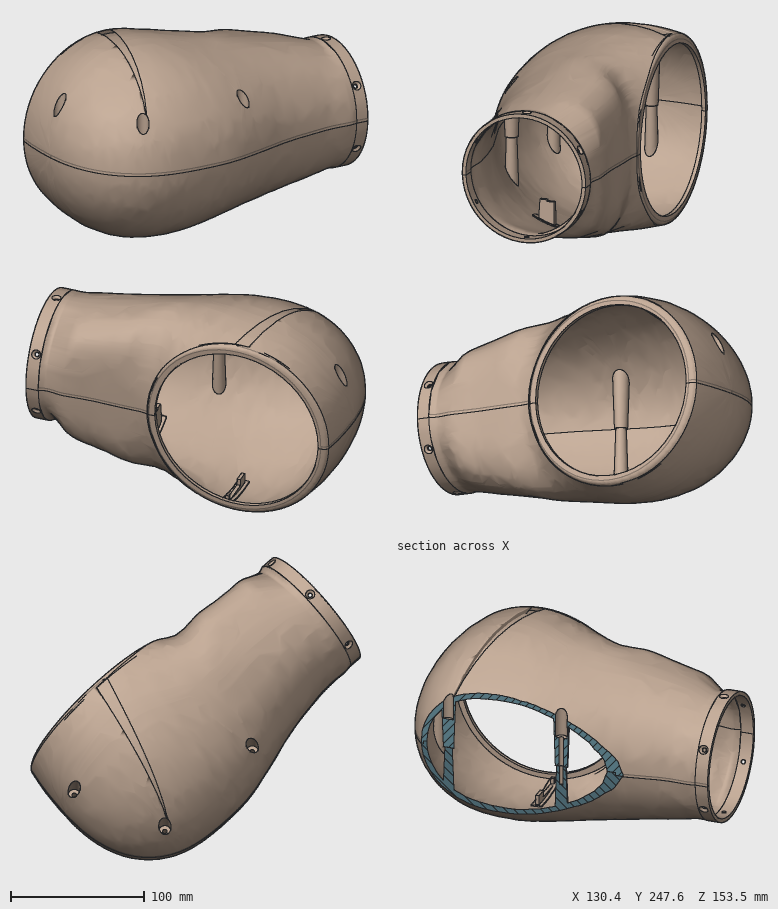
import cadquery as cq
import math

head_radius = 76.65
collar_radius = 50.0
collar_length = 10.0
total_length = 247.6
collar_end = total_length - head_radius
neck_end = collar_end - collar_length
apex_x = 77.93
rim_x = -52.42
ridge_x = -16.0
tip_ridge_x = -5.0
crown_fullness = 2.15
wall = 3.0
lip_wall = wall / 2

rim_plane_radius = 71.9
rim_radius = 72.9
rim_flat_radius = 69.0
rim_flat_shift = 2.0
rim_round_depth = 4.3
rim_round_steps = 4
rim_thickness = 3.0
bore_radius = 65.6
bore_shift = 0.8

split_z = -2.2
lip_top_z = 0.0

neck_stations = [
    (90.0, 59.8, 64.2, -50.5, -13.0, 3.0),
    (105.0, 56.2, 60.6, -49.8, -9.0, 3.4),
    (126.0, 52.4, 55.9, -49.4, -4.0, 3.4),
    (145.0, 50.8, 51.4, -49.7, -1.0, 2.6),
    (neck_end, collar_radius, collar_radius, -collar_radius, 0.0, 2.0),
]
shoulder_stations = [
    (20.0, 77.6, 75.9),
    (40.0, 75.0, 72.8),
    (58.0, 70.0, 69.9),
    (72.0, 65.7, 67.6),
]
head_angles = [89.8, 84, 74, 60, 42, 22, 0]
section_points = 16

screw_posts = [(56.2, 55.7, 22.0), (58.6, -34.9, 22.0), (-8.1, -66.4, 22.0)]
post_reach = 70.0
post_draft = 2.0
upper_post_radius = 5.0
lower_post_radius = 4.0
counterbore_radius = 4.6
screw_radius = 1.7
pilot_radius = 1.3
pilot_depth = 15.0

collar_screw_inset = 5.8
collar_screw_count = 6
collar_screw_radius = 1.6
collar_countersink_radius = 3.5

rib_draft = 2.0
foot_width = 8.5
foot_height = 1.0
floor_z = -head_radius
neck_rib_y = 90.0
neck_rib_thickness = 5.5
neck_seat_z = -39.6
neck_lug_z = -35.5
head_rib_y = 11.0
head_rib_thickness = 3.4
head_lug_z = -65.0
head_bar_z = -70.0

overshoot = 1.0
far = 400.0


def superellipse(value, fullness):
    """Sine or cosine bent so that the quarter arc it traces gets fuller as fullness rises above 2."""
    return math.copysign(abs(value) ** (2 / fullness), value)


def section(y, left, right, height, ridge, inset, left_fullness=2.0):
    """Closed curve in the XZ plane: a half ellipse on the right and a fuller one on the left."""
    points = []
    for i in range(section_points):
        angle = 2 * math.pi * i / section_points
        on_right = math.cos(angle) > 0
        reach = right - ridge if on_right else ridge - left
        fullness = 2.0 if on_right else left_fullness
        x = ridge + (reach - inset) * superellipse(math.cos(angle), fullness)
        z = (height - inset) * superellipse(math.sin(angle), fullness)
        points.append(cq.Vector(x, y, z))
    return cq.Wire.assembleEdges([cq.Edge.makeSpline(points, periodic=True)])


def left_edge(y, ridge, height):
    """Left edge that makes the section cross the rim plane on a circle."""
    level = (rim_plane_radius ** 2 - y ** 2) / height ** 2
    return ridge - (ridge - rim_x) / math.sqrt(1 - level)


def head_section(angle, inset):
    """Section of the closed end of the head, at an angle from the equator (0) to the tip (90)."""
    depth = math.sin(math.radians(angle))
    round_off = math.cos(math.radians(angle))
    ridge = ridge_x + (tip_ridge_x - ridge_x) * depth ** 2
    right = ridge + (apex_x - ridge_x) * (1 - depth ** crown_fullness) ** (1 / crown_fullness)
    rim_cos = math.sqrt(1 - (rim_plane_radius / head_radius) ** 2)
    left = ridge - (ridge - rim_x) * round_off / rim_cos
    scale = 1 - inset / head_radius
    left = ridge + (left - ridge) * scale
    right = ridge + (right - ridge) * scale
    return section(-head_radius * depth * scale, left, right, head_radius * round_off * scale, ridge, 0)


def pod(inset):
    """Head and neck as one lofted solid, set in by the given distance."""
    wires = [head_section(angle, inset) for angle in head_angles]
    for y, right, height in shoulder_stations:
        wires.append(section(y, left_edge(y, ridge_x, height), right, height, ridge_x, inset))
    for y, right, height, left, ridge, fullness in neck_stations:
        wires.append(section(y, left, right, height, ridge, inset, fullness))
    return cq.Workplane(cq.Solid.makeLoft(wires))



def slab(z_low, z_high):
    """Wide block between two heights, used to separate the halves."""
    return cq.Workplane("XY", origin=(0, 0, z_low)).rect(far, far).extrude(z_high - z_low)


def beyond_x(x):
    return cq.Workplane("YZ", origin=(x, 0, 0)).circle(far).extrude(far)


def rim_round_cutter():
    """Ring that rounds the outer edge of the rim, off-centre so that it fades at the neck."""
    circles = []
    for i in range(rim_round_steps + 1):
        angle = math.pi / 2 * i / rim_round_steps
        depth = rim_round_depth * (1 - math.cos(angle))
        radius = rim_flat_radius + (rim_radius - rim_flat_radius) * math.sin(angle)
        centre = cq.Vector(rim_x + depth, rim_flat_shift * (1 - math.sin(angle)), 0)
        circles.append(cq.Wire.makeCircle(radius, centre, cq.Vector(1, 0, 0)))
    rounded_plug = cq.Workplane(cq.Solid.makeLoft(circles))
    blank = cq.Workplane("YZ", origin=(rim_x, 0, 0)).circle(rim_radius).extrude(rim_round_depth)
    return blank.cut(rounded_plug)


def opening_bore():
    return (
        cq.Workplane("YZ", origin=(rim_x - overshoot, 0, 0))
        .center(bore_shift, 0)
        .circle(bore_radius)
        .extrude(rim_thickness + 2 * overshoot)
    )


def collar():
    base = cq.Workplane("XZ", origin=(0, neck_end, 0))
    ring = base.circle(collar_radius).circle(collar_radius - wall).extrude(-collar_length)
    step = 360 / collar_screw_count
    for i in range(collar_screw_count):
        ring = ring.cut(collar_screw_hole().rotate((0, 0, 0), (0, 1, 0), step * i))
    return ring


def collar_screw_hole():
    """Countersunk hole at the top of the collar."""
    sink_depth = collar_countersink_radius - collar_screw_radius
    y = collar_end - collar_screw_inset
    up = cq.Vector(0, 0, 1)
    hole_start = cq.Vector(0, y, collar_radius - wall - overshoot)
    hole = cq.Solid.makeCylinder(collar_screw_radius, wall + 2 * overshoot, hole_start, up)
    sink = cq.Solid.makeCone(
        collar_screw_radius, collar_countersink_radius, sink_depth,
        cq.Vector(0, y, collar_radius - sink_depth), up,
    )
    return cq.Workplane(hole).union(cq.Workplane(sink))


def post(x, y, radius, direction):
    """Drafted post from the parting plane, widening towards the shell."""
    return (
        cq.Workplane("XY", origin=(x, y, split_z))
        .circle(radius)
        .extrude(direction * post_reach, taper=-post_draft)
    )


def screw_post_set(radius, direction):
    """All posts of one half, trimmed so that they end inside the shell wall."""
    posts = cq.Workplane()
    for x, y, _ in screw_posts:
        posts = posts.add(post(x, y, radius, direction))
    return posts.combine().intersect(lip_form)


def pin_hole(x, y, z_low, z_high, radius):
    return cq.Workplane("XY", origin=(x, y, z_low)).circle(radius).extrude(z_high - z_low)


def band_below(body):
    """Straight extrusion of the body's flat underside down to the parting plane."""
    return body.faces("<Z").wires().toPending().extrude(split_z - lip_top_z, combine=False)


inner_side = beyond_x(rim_x + rim_thickness)
outer_form = pod(0).intersect(beyond_x(rim_x)).cut(rim_round_cutter())
lip_form = pod(lip_wall).intersect(inner_side)
cavity = pod(wall).intersect(inner_side)
shell = outer_form.cut(cavity).cut(opening_bore())
ring = collar()
dome = shell.intersect(slab(lip_top_z, far))
basin = shell.intersect(slab(-far, lip_top_z))
band = band_below(dome)
lip_block = band_below(lip_form.intersect(slab(lip_top_z, far)))
skirt = band.cut(lip_block)
lip_surround = slab(split_z, lip_top_z).cut(lip_block)
upper_posts = screw_post_set(upper_post_radius, 1)


def saddle_rib(outline, y, thickness, foot_start, foot_end):
    """Thin upright rib across X, standing on a low foot that follows the floor."""
    rib = (
        cq.Workplane("XZ", origin=(0, y + thickness / 2, 0))
        .polyline(outline)
        .close()
        .extrude(thickness)
    )
    wedge = (
        cq.Workplane("XY", origin=(0, y, floor_z))
        .rect(far, thickness)
        .extrude(head_radius / 2, taper=rib_draft)
    )
    foot = (
        cq.Workplane("XY", origin=((foot_start + foot_end) / 2, y, -far))
        .rect(foot_end - foot_start, foot_width)
        .extrude(far)
        .cut(cavity.translate((0, 0, foot_height)))
    )
    return rib.intersect(wedge).union(foot).intersect(lip_form)


neck_rib = saddle_rib(
    [(7.0, floor_z), (7.5, neck_seat_z), (13.4, neck_seat_z), (13.4, neck_lug_z),
     (18.8, neck_lug_z), (21.0, floor_z)],
    neck_rib_y, neck_rib_thickness, 5.0, 24.0,
)
head_rib = saddle_rib(
    [(-45.0, floor_z), (-45.0, head_lug_z), (-42.5, head_lug_z), (-42.5, head_bar_z),
     (-20.5, head_bar_z), (-20.5, head_lug_z), (-11.0, head_lug_z), (-11.0, floor_z)],
    head_rib_y, head_rib_thickness, -47.5, -9.0,
)


def build_upper():
    collar_half = ring.intersect(slab(split_z, far))
    body = dome.union(skirt).union(upper_posts).union(collar_half)
    for x, y, floor in screw_posts:
        body = body.cut(pin_hole(x, y, floor, post_reach, counterbore_radius))
        body = body.cut(pin_hole(x, y, split_z, floor, screw_radius))
    return body


def build_lower():
    lower_posts = screw_post_set(lower_post_radius, -1)
    for x, y, _ in screw_posts:
        lower_posts = lower_posts.cut(pin_hole(x, y, split_z - pilot_depth, split_z, pilot_radius))
    collar_half = ring.intersect(slab(-far, split_z))
    body = basin.cut(lip_surround).cut(upper_posts).union(lower_posts).union(collar_half)
    return body.union(neck_rib).union(head_rib)


upper = build_upper()
lower = build_lower()
result = cq.Compound.makeCompound([*upper.vals(), *lower.vals()])